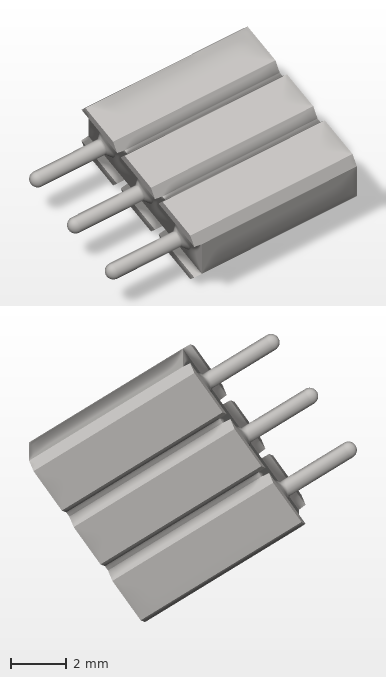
import cadquery as cq

pin_count = 3
pitch = 2.54
width = pin_count * pitch
height = 2.54
block_length = 7.0
total_length = 10.0

core_height = 1.72
groove_floor_width = 0.2
ridge_inset = 0.29

recess_depth = 0.31
recess_flare = 0.03

pin_diameter = 0.62
collar_diameter = 1.08

block_front = -block_length / 2
block_back = block_length / 2
recess_floor = block_front + recess_depth
pin_tip = block_back - total_length

pin_radius = pin_diameter / 2
collar_radius = collar_diameter / 2
collar_length = collar_radius - pin_radius
core_top = core_height / 2
pin_positions = [(i - (pin_count - 1) / 2) * pitch for i in range(pin_count)]


def make_core():
    """Full-width bar that carries the ridges."""
    return cq.Workplane("XY").box(width, block_length, core_height)


def make_ridge(left, right, side):
    """Trapezoidal ridge between two X positions; side is 1 for top, -1 for bottom."""
    return (
        cq.Workplane("XZ", origin=(0, block_back, 0))
        .polyline([
            (left, 0),
            (left, side * core_top),
            (left + ridge_inset, side * height / 2),
            (right - ridge_inset, side * height / 2),
            (right, side * core_top),
            (right, 0),
        ])
        .close()
        .extrude(block_length)
    )


def make_recess():
    """Front recess, opening slightly in height toward the front."""
    ledge = core_top + recess_flare
    return (
        cq.Workplane("YZ", origin=(-width / 2, 0, 0))
        .polyline([
            (recess_floor, -core_top),
            (recess_floor, core_top),
            (block_front, ledge),
            (block_front, -ledge),
        ])
        .close()
        .extrude(width)
    )


def make_pin(x):
    """Round-nosed pin with a conical collar, revolved about its own Y axis."""
    nose_start = pin_tip + pin_radius
    nose_bend = pin_radius * 0.5 ** 0.5
    return (
        cq.Workplane("XY")
        .moveTo(0, recess_floor)
        .lineTo(collar_radius, recess_floor)
        .lineTo(pin_radius, recess_floor - collar_length)
        .lineTo(pin_radius, nose_start)
        .threePointArc((nose_bend, nose_start - nose_bend), (0, pin_tip))
        .close()
        .revolve(360, (0, 0, 0), (0, 1, 0))
        .translate((x, 0, 0))
    )


result = make_core()
for x in pin_positions:
    left = x - pitch / 2
    right = x + pitch / 2
    if x != pin_positions[0]:
        left += groove_floor_width / 2
    if x != pin_positions[-1]:
        right -= groove_floor_width / 2
    for side in (1, -1):
        result = result.union(make_ridge(left, right, side))

result = result.cut(make_recess())
for x in pin_positions:
    result = result.union(make_pin(x))